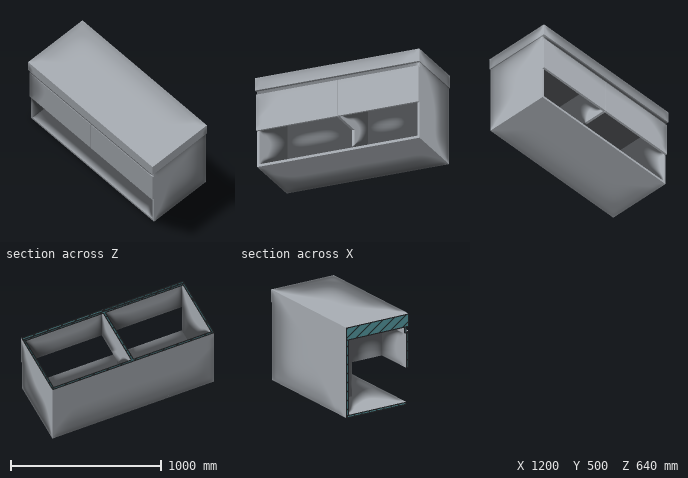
import cadquery as cq

top_width = 1200.0
top_depth = 500.0
total_height = 640.0
top_thickness = 90.0
side_inset = 7.0
carcass_depth = 480.0
side_thickness = 15.0
board_thickness = 18.0
rail_height = 43.0
drawer_thickness = 15.0
drawer_height = 262.0
drawer_drop = 29.0
drawer_gap = 4.0
drawer_bevel = 12.0
shelf_recess = 240.0

carcass_width = top_width - 2 * side_inset
carcass_height = total_height - top_thickness
inner_width = carcass_width - 2 * side_thickness
drawer_top = carcass_height - drawer_drop
drawer_bottom = drawer_top - drawer_height
drawer_width = (carcass_width - drawer_gap) / 2


def box_at(x, y, z, width, depth, height):
    """Box with its lowest corner at (x, y, z)."""
    return cq.Workplane("XY").box(width, depth, height, centered=False).translate((x, y, z))


def make_top():
    """Flat top, flush with the carcass at the back."""
    return box_at(-top_width / 2, carcass_depth - top_depth, carcass_height,
                  top_width, top_depth, top_thickness)


def make_side(x):
    """Full-height side panel with its left face at x."""
    return box_at(x, 0, 0, side_thickness, carcass_depth, carcass_height)


def make_bottom():
    """Bottom board between the sides."""
    return box_at(-inner_width / 2, 0, 0, inner_width, carcass_depth, board_thickness)


def make_inner_frame():
    """Back panel, centre divider and front rail; the divider is set back in the open shelf."""
    inner_height = carcass_height - board_thickness
    back = box_at(-inner_width / 2, carcass_depth - board_thickness, board_thickness,
                  inner_width, board_thickness, inner_height)
    divider = box_at(-board_thickness / 2, shelf_recess, board_thickness,
                     board_thickness, carcass_depth - shelf_recess, inner_height)
    divider_head = box_at(-board_thickness / 2, 0, drawer_bottom,
                          board_thickness, carcass_depth, carcass_height - drawer_bottom)
    rail = box_at(-inner_width / 2, 0, carcass_height - rail_height,
                  inner_width, board_thickness, rail_height)
    return back.union(divider).union(divider_head).union(rail)


def make_drawer_front(x):
    """Drawer front with its left edge at x; the rear top edge is bevelled as a finger grip."""
    panel = box_at(x, -drawer_thickness, drawer_bottom,
                   drawer_width, drawer_thickness, drawer_height)
    return panel.edges(">Y and >Z").chamfer(drawer_bevel)


top = make_top()
sides = [make_side(x) for x in (-carcass_width / 2, inner_width / 2)]
bottom = make_bottom()
inner_frame = make_inner_frame()
drawer_fronts = [make_drawer_front(x) for x in (-carcass_width / 2, drawer_gap / 2)]

result = cq.Compound.makeCompound([
    top.val(),
    *[side.val() for side in sides],
    bottom.val(),
    inner_frame.val(),
    *[front.val() for front in drawer_fronts],
])